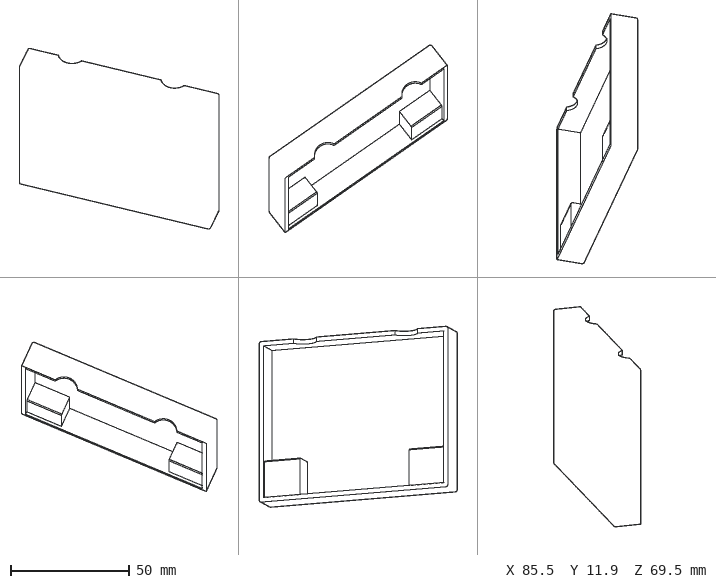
import cadquery as cq

width = 85.5
depth = 11.9
height = 69.5
edge_radius = 0.9
wall = 2.0
back_y = depth / 2

notch_centers_x = (-23.9, 22.0)
notch_width = 10.3
notch_depth = 3.2

block_inner_x = 24.8
block_setback = 1.2
bevel_size = 0.5
block_height = 17.1


def make_shell():
    body = cq.Workplane("XY").box(width, depth, height)
    body = body.edges("|Y or <Y").fillet(edge_radius)
    cavity = cq.Workplane("XY").box(width - 2 * wall, depth, height - 2 * wall)
    return body.cut(cavity.translate((0, wall, 0)))


def make_notch(center_x):
    """Circular segment cut through the top wall only."""
    cut_length = 2 * wall
    half_width = notch_width / 2
    radius = (half_width**2 + notch_depth**2) / (2 * notch_depth)
    return (
        cq.Workplane("XY")
        .center(center_x, back_y + radius - notch_depth)
        .circle(radius)
        .extrude(cut_length)
        .translate((0, 0, (height - wall - cut_length) / 2))
    )


def make_side_block(side):
    """Block joining the bottom wall, the front wall and one side wall."""
    overlap = wall / 2
    length = width / 2 - overlap - block_inner_x
    front_y = -depth / 2 + overlap
    rear_y = back_y - block_setback
    bottom_z = -height / 2 + overlap
    top_z = bottom_z + block_height
    block = (
        cq.Workplane("YZ")
        .moveTo(front_y, bottom_z)
        .lineTo(rear_y, bottom_z)
        .lineTo(rear_y, top_z - bevel_size)
        .lineTo(rear_y - bevel_size, top_z)
        .lineTo(front_y, top_z)
        .close()
        .extrude(length)
        .translate((block_inner_x, 0, 0))
    )
    return block if side > 0 else block.mirror("YZ")


result = make_shell()
for notch_x in notch_centers_x:
    result = result.cut(make_notch(notch_x))
for side in (-1, 1):
    result = result.union(make_side_block(side))